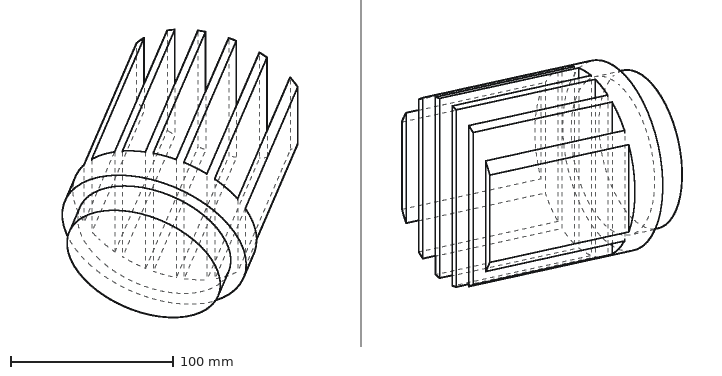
import cadquery as cq

total_length = 140.0
flange_diameter = 120.0
flange_thickness = 20.0
boss_diameter = 100.0
boss_length = 20.0
fin_count = 6
fin_pitch = 20.0
fin_thickness = 5.0

flange_front = boss_length
flange_back = flange_front + flange_thickness
fin_length = total_length - flange_back


def disc(diameter, start, length):
    """Cylinder along +Y from the given start position."""
    plane = cq.Workplane("XZ", origin=(0, start, 0))
    return plane.circle(diameter / 2).extrude(-length)


def cooling_fins():
    """Parallel upright plates whose ends follow the flange rim."""
    plates = cq.Workplane("XY")
    middle = flange_back + fin_length / 2
    for index in range(fin_count):
        x = (index - (fin_count - 1) / 2) * fin_pitch
        plate = cq.Workplane("XY").box(fin_thickness, fin_length, flange_diameter)
        plates = plates.add(plate.translate((x, middle, 0)))
    envelope = disc(flange_diameter, flange_back, fin_length)
    return envelope.intersect(plates.combine())


boss = disc(boss_diameter, 0, boss_length)
flange = disc(flange_diameter, flange_front, flange_thickness)
result = boss.union(flange).union(cooling_fins())